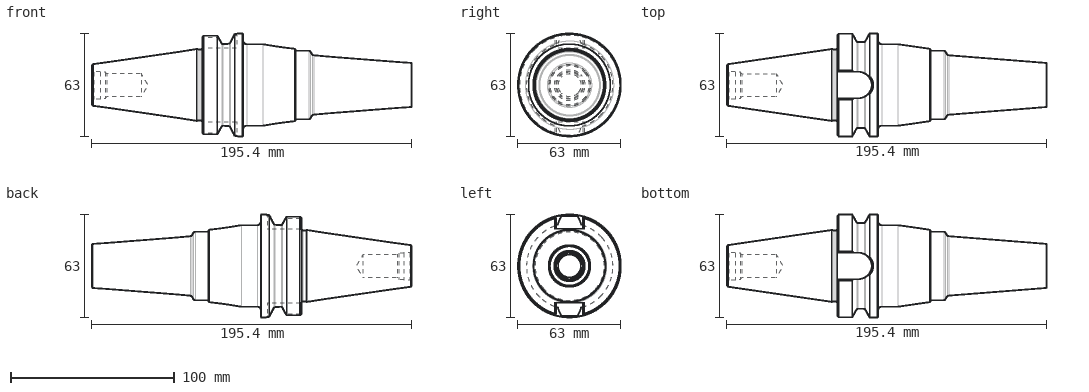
import cadquery as cq
import math


shank_length = 65.4
nose_reach = 130.0
rear_x = -shank_length

gauge_radius = 44.45 / 2
taper_slope = 7 / 48
shank_rear_radius = gauge_radius - taper_slope * shank_length
shank_chamfer = 0.75
taper_end_x = -1.3
taper_end_radius = gauge_radius + taper_slope * taper_end_x
relief_depth = 0.25
relief_ramp_length = 1.15
relief_start_x = taper_end_x + relief_ramp_length
relief_root_fillet = 0.8

flange_radius = 63.0 / 2
flange_rear_x = 2.0
flange_front_x = 27.0
flange_rear_chamfer = 1.0
flange_front_chamfer = 0.5
groove_radius = 26.3
groove_center_x = 16.4
groove_floor_width = 4.7
groove_flank_angle = 30.0
groove_corner_fillet = 0.75
groove_flank_run = (flange_radius - groove_radius) * math.tan(math.radians(groove_flank_angle))
groove_rear_x = groove_center_x - groove_floor_width / 2
groove_front_x = groove_center_x + groove_floor_width / 2

body_radius = 25.0
body_root_fillet = 2.0
body_taper_start_x = 38.8
body_front_x = 59.0
body_front_radius = 22.1
body_edge_chamfer = 0.6
collar_radius = 21.0
collar_front_x = 67.7
shoulder_length = 1.6
shoulder_fillet = 1.2
nose_root_x = collar_front_x + shoulder_length

nose_front_radius = 27.0 / 2
nose_taper_angle = 4.5
nose_edge_fillet = 1.0
nose_length = nose_reach - nose_root_x
nose_root_radius = nose_front_radius + nose_length * math.tan(math.radians(nose_taper_angle))

slot_width = 16.1
slot_floor_height = 22.6
slot_end_x = 23.0
slot_half_width = slot_width / 2
slot_arc_x = slot_end_x - slot_half_width
slot_chamfer = 1.0

bore_mouth_radius = 9.4
bore_mouth_depth = 1.2
pilot_radius = 8.5
pilot_depth = 5.0
lead_radius = 8.0
lead_depth = 8.0
thread_minor_radius = 7.0
thread_depth = 30.0
drill_point_angle = 118.0


def revolve_about_x(points):
    """Solid of revolution about X from (x, radius) points."""
    return cq.Workplane("XY").polyline(points).close().revolve(360, (0, 0, 0), (1, 0, 0))


def ring_edges(body, x, radius):
    """Circular edges of the turned body at one axial position and radius."""
    tolerance = 1e-3

    def on_ring(edge):
        box = edge.BoundingBox()
        return abs(box.xmin - x) + abs(box.xmax - x) < tolerance and abs(box.ymax - radius) < tolerance

    return body.edges().filter(on_ring)


def turned_body():
    """Outer turned shape with its edge breaks and root radii."""
    relief_radius = taper_end_radius - relief_depth
    outline = [
        (rear_x, 0),
        (rear_x, shank_rear_radius),
        (taper_end_x, taper_end_radius),
        (relief_start_x, relief_radius),
        (flange_rear_x, relief_radius),
        (flange_rear_x, flange_radius),
        (groove_rear_x - groove_flank_run, flange_radius),
        (groove_rear_x, groove_radius),
        (groove_front_x, groove_radius),
        (groove_front_x + groove_flank_run, flange_radius),
        (flange_front_x, flange_radius),
        (flange_front_x, body_radius),
        (body_taper_start_x, body_radius),
        (body_front_x, body_front_radius),
        (body_front_x, collar_radius),
        (collar_front_x, collar_radius),
        (nose_root_x, nose_root_radius),
        (nose_reach, nose_front_radius),
        (nose_reach, 0),
    ]
    body = revolve_about_x(outline)
    fillets = [
        (flange_rear_x, relief_radius, relief_root_fillet),
        (groove_rear_x, groove_radius, groove_corner_fillet),
        (groove_front_x, groove_radius, groove_corner_fillet),
        (flange_front_x, body_radius, body_root_fillet),
        (collar_front_x, collar_radius, shoulder_fillet),
        (nose_root_x, nose_root_radius, shoulder_fillet),
        (nose_reach, nose_front_radius, nose_edge_fillet),
    ]
    for x, radius, size in fillets:
        body = ring_edges(body, x, radius).fillet(size)
    chamfers = [
        (rear_x, shank_rear_radius, shank_chamfer),
        (flange_rear_x, flange_radius, flange_rear_chamfer),
        (flange_front_x, flange_radius, flange_front_chamfer),
        (body_front_x, body_front_radius, body_edge_chamfer),
    ]
    for x, radius, size in chamfers:
        body = ring_edges(body, x, radius).chamfer(size)
    return body


def drive_slot():
    """Cutter for the upper drive slot, with a round front end and a chamfered rear mouth."""
    wide = slot_half_width + slot_chamfer
    height = flange_radius - slot_floor_height
    return (
        cq.Workplane("XY", origin=(0, 0, slot_floor_height))
        .moveTo(flange_rear_x, -wide)
        .lineTo(flange_rear_x + slot_chamfer, -slot_half_width)
        .lineTo(slot_arc_x, -slot_half_width)
        .threePointArc((slot_end_x, 0), (slot_arc_x, slot_half_width))
        .lineTo(flange_rear_x + slot_chamfer, slot_half_width)
        .lineTo(flange_rear_x, wide)
        .close()
        .extrude(height)
    )


def slot_rim_chamfer():
    """Flared cutter that bevels the straight top edges and the round front end of the drive slot."""
    rim_height = math.sqrt(flange_radius ** 2 - (slot_half_width + slot_chamfer) ** 2)
    low = rim_height - slot_chamfer
    flare = flange_radius - low
    length = groove_center_x - flange_rear_x
    straight_edges = (
        cq.Workplane("YZ", origin=(flange_rear_x, 0, 0))
        .polyline([
            (-slot_half_width, low),
            (slot_half_width, low),
            (slot_half_width + flare, flange_radius),
            (-slot_half_width - flare, flange_radius),
        ])
        .close()
        .extrude(length)
    )
    end_flare = cq.Solid.makeCone(
        slot_half_width,
        slot_half_width + slot_chamfer,
        slot_chamfer,
        pnt=cq.Vector(slot_arc_x, 0, flange_radius - slot_chamfer),
    )
    return straight_edges.union(cq.Workplane(end_flare))


def retention_bore():
    """Blind stepped bore for the retention knob with a conical bottom."""
    pilot_end = rear_x + pilot_depth
    thread_end = rear_x + thread_depth
    point_length = thread_minor_radius / math.tan(math.radians(drill_point_angle / 2))
    lead_end = rear_x + lead_depth
    lead_chamfer = lead_radius - thread_minor_radius
    return revolve_about_x([
        (rear_x, 0),
        (rear_x, bore_mouth_radius),
        (rear_x + bore_mouth_depth, pilot_radius),
        (pilot_end, pilot_radius),
        (pilot_end, lead_radius),
        (lead_end, lead_radius),
        (lead_end + lead_chamfer, thread_minor_radius),
        (thread_end, thread_minor_radius),
        (thread_end + point_length, 0),
    ])


slot_cutter = drive_slot().union(slot_rim_chamfer())
result = turned_body()
for turn in (0, 180):
    result = result.cut(slot_cutter.rotate((0, 0, 0), (1, 0, 0), turn))
result = result.cut(retention_bore())